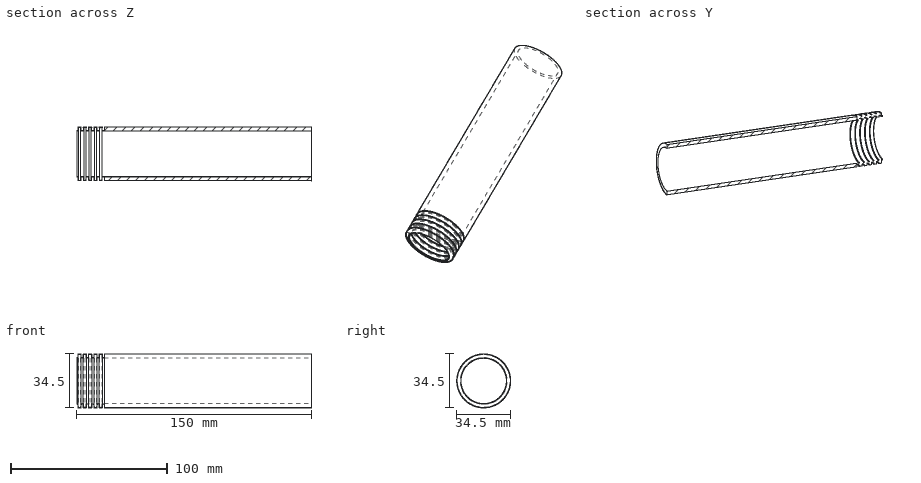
import cadquery as cq
import math

length = 150.0
outer_diameter = 34.5
root_bore_diameter = 29.0
wall = 0.4

ring_count = 5
pitch = 3.4
convex_bend_radius = 0.4
concave_bend_radius = 0.2

half_wall = wall / 2
outer_radius = outer_diameter / 2
root_bore_radius = root_bore_diameter / 2
mid_crest_radius = outer_radius - half_wall
mid_root_radius = root_bore_radius + half_wall
first_rise = pitch / 4

arc_middle_ratio = 1 - math.sqrt(0.5)


def add_step(profile, start_level, end_level, wall_x, start_bend, end_bend):
    """Continue a profile along X to a wall at wall_x and over its two rounded bends."""
    direction = math.copysign(1, end_level - start_level)
    start_inset = start_bend * arc_middle_ratio
    end_inset = end_bend * arc_middle_ratio
    return (
        profile.lineTo(wall_x - start_bend, start_level)
        .threePointArc(
            (wall_x - start_inset, start_level + direction * start_inset),
            (wall_x, start_level + direction * start_bend),
        )
        .lineTo(wall_x, end_level - direction * end_bend)
        .threePointArc(
            (wall_x + end_inset, end_level - direction * end_inset),
            (wall_x + end_bend, end_level),
        )
    )


def corrugated_profile(offset, crest_bend, root_bend):
    """Half outline of the corrugated sheet's surface at this offset from its middle."""
    root = mid_root_radius + offset
    crest = mid_crest_radius + offset

    profile = cq.Workplane("XY").lineTo(0, root)
    for i in range(ring_count):
        rise = first_rise + i * pitch
        fall = rise + pitch / 2
        profile = add_step(profile, root, crest, rise - offset, root_bend, crest_bend)
        profile = add_step(profile, crest, root, fall + offset, crest_bend, root_bend)

    return profile


def revolve_to_end(profile, end_radius):
    """Run a profile to the far end of the tube and revolve it around X."""
    profile = profile.lineTo(length, end_radius).lineTo(length, 0).close()
    return profile.revolve(360, (0, 0, 0), (1, 0, 0))


outside = corrugated_profile(half_wall, convex_bend_radius, concave_bend_radius)
inside = corrugated_profile(-half_wall, concave_bend_radius, convex_bend_radius)

body_start = first_rise + ring_count * pitch - half_wall
outside = add_step(
    outside,
    root_bore_radius + wall,
    outer_radius,
    body_start,
    concave_bend_radius,
    convex_bend_radius,
)
result = revolve_to_end(outside, outer_radius).cut(revolve_to_end(inside, root_bore_radius))